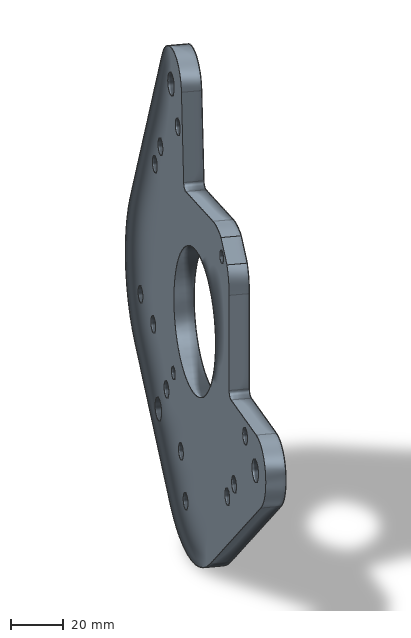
import cadquery as cq
import math

overall_size = 195.8
thickness = 8.0

ear_x, ear_z = -33.0, 84.4
ear_radius = 14.7
inner_edge_tilt = math.radians(5)
inner_corner_radius = 3.0

shoulder = 48.0
shoulder_flat_sum = 81.7
shoulder_radius = 22.5

lobe_radius = 45.0
lower_edge_sum = -117.7
lobe_x = ear_z + ear_radius - overall_size + lobe_radius
lobe_z = lower_edge_sum + lobe_radius * math.sqrt(2) - lobe_x

bore_diameter = 58.0
mount_diameter = 9.0
bolt_diameter = 6.7
pin_diameter = 5.0
bolt_points = [(-23.7, 70.3), (-47.8, 54.8), (-55.6, 45.5), (-75.5, -12.7), (-57.8, -19.2)]
diagonal_bolt = -39.4
diagonal_mount = -50.7
diagonal_pins = [37.5, -29.8]


def mirrored(point):
    """Reflect a point across the diagonal X = Z."""
    return point[1], point[0]


def with_mirror(points):
    return points + [mirrored(p) for p in points]


def on_diagonal(places):
    return [(p, p) for p in places]


def on_circle(center, radius, angle):
    return center[0] + radius * math.cos(angle), center[1] + radius * math.sin(angle)


def make_plate():
    ear = (ear_x, ear_z)
    lobe = (lobe_x, lobe_z)

    run, rise = ear_x - lobe_x, ear_z - lobe_z
    lean = math.asin((lobe_radius - ear_radius) / math.hypot(run, rise))
    outer_angle = math.atan2(rise, run) + math.pi / 2 - lean
    lower_angle = math.radians(225)
    ear_middle_angle = (outer_angle + inner_edge_tilt) / 2
    lobe_middle_angle = (outer_angle + lower_angle) / 2

    lobe_lower = on_circle(lobe, lobe_radius, lower_angle)
    lobe_middle = on_circle(lobe, lobe_radius, lobe_middle_angle)
    lobe_outer = on_circle(lobe, lobe_radius, outer_angle)
    ear_outer = on_circle(ear, ear_radius, outer_angle)
    ear_middle = on_circle(ear, ear_radius, ear_middle_angle)
    ear_inner = on_circle(ear, ear_radius, inner_edge_tilt)
    inner_x = ear_inner[0] + (ear_inner[1] - shoulder) * math.tan(inner_edge_tilt)
    inner_corner = (inner_x, shoulder)

    round_center = (shoulder - shoulder_radius, shoulder - shoulder_radius)
    flat_distance = (shoulder_flat_sum - sum(round_center)) / math.sqrt(2)
    flat_angle = math.radians(45) + math.acos(flat_distance / shoulder_radius)
    round_start = (round_center[0], shoulder)
    round_middle = on_circle(round_center, shoulder_radius, (math.radians(90) + flat_angle) / 2)
    flat_end = on_circle(round_center, shoulder_radius, flat_angle)

    plate = (
        cq.Workplane("XZ")
        .moveTo(*lobe_lower)
        .threePointArc(lobe_middle, lobe_outer)
        .lineTo(*ear_outer)
        .threePointArc(ear_middle, ear_inner)
        .lineTo(*inner_corner)
        .lineTo(*round_start)
        .threePointArc(round_middle, flat_end)
        .lineTo(*mirrored(flat_end))
        .threePointArc(mirrored(round_middle), mirrored(round_start))
        .lineTo(*mirrored(inner_corner))
        .lineTo(*mirrored(ear_inner))
        .threePointArc(mirrored(ear_middle), mirrored(ear_outer))
        .lineTo(*mirrored(lobe_outer))
        .threePointArc(mirrored(lobe_middle), mirrored(lobe_lower))
        .close()
        .extrude(thickness)
    )
    return round_corners(plate, with_mirror([inner_corner]), inner_corner_radius)


def round_corners(plate, corners, radius):
    """Fillet the through-thickness edges at the given outline corners."""
    for x, z in corners:
        corner_edge = cq.selectors.NearestToPointSelector((x, -thickness / 2, z))
        plate = plate.edges("|Y").edges(corner_edge).fillet(radius)
    return plate


def drill(plate, points, diameter):
    cutters = cq.Workplane("XZ").pushPoints(points).circle(diameter / 2).extrude(thickness)
    return plate.cut(cutters)


result = make_plate()
result = drill(result, [(0, 0)], bore_diameter)
result = drill(result, with_mirror([(ear_x, ear_z)]) + on_diagonal([diagonal_mount]), mount_diameter)
result = drill(result, with_mirror(bolt_points) + on_diagonal([diagonal_bolt]), bolt_diameter)
result = drill(result, on_diagonal(diagonal_pins), pin_diameter)